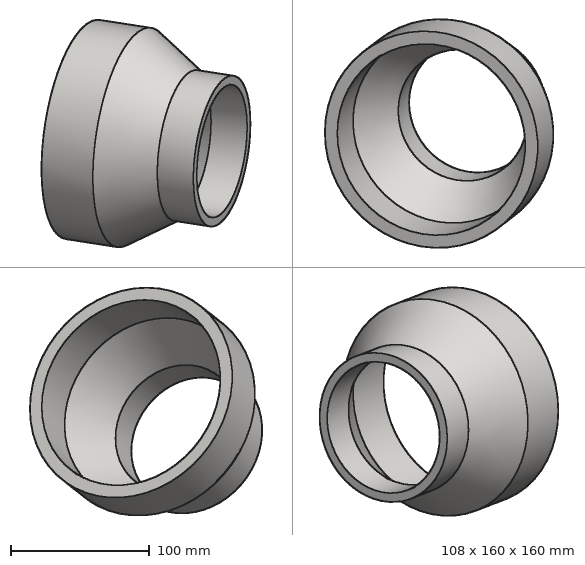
import cadquery as cq

total_length = 108.0
large_length = 40.0
small_length = 28.0
large_outer_diameter = 160.0
large_bore_diameter = 141.1
small_outer_diameter = 110.0
small_bore_diameter = 96.8

cone_end = total_length - small_length


def stepped_cone(large_diameter, small_diameter):
    """Solid of revolution: large cylinder, cone, then small cylinder along +X."""
    large_radius = large_diameter / 2
    small_radius = small_diameter / 2
    return (
        cq.Workplane("XY")
        .moveTo(0, 0)
        .lineTo(0, large_radius)
        .lineTo(large_length, large_radius)
        .lineTo(cone_end, small_radius)
        .lineTo(total_length, small_radius)
        .lineTo(total_length, 0)
        .close()
        .revolve(360, (0, 0, 0), (1, 0, 0))
    )


body = stepped_cone(large_outer_diameter, small_outer_diameter)
bore = stepped_cone(large_bore_diameter, small_bore_diameter)
result = body.cut(bore)